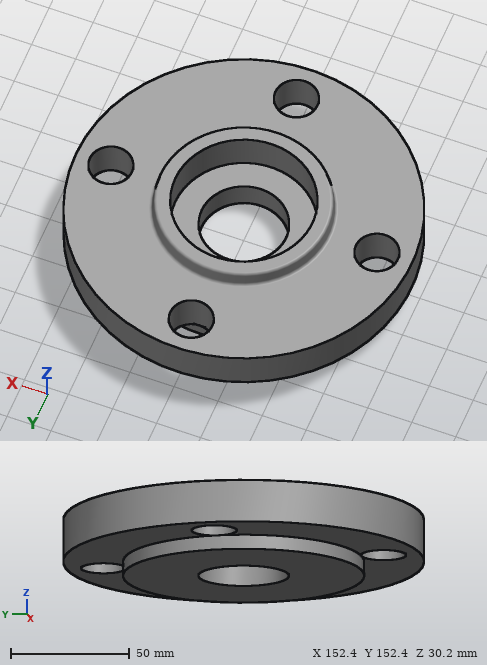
import cadquery as cq
import math

flange_diameter = 152.4
flange_thickness = 18.0
raised_face_diameter = 101.8
raised_face_height = 6.1

hub_height = 6.1
hub_top_flat_diameter = 73.1
hub_draft_degrees = 10.0
hub_fillet_radius = 1.4

bore_diameter = 38.2
socket_diameter = 62.2
socket_depth = 17.5

bolt_count = 4
bolt_hole_diameter = 19.0
bolt_circle_diameter = 120.7

flange_bottom = raised_face_height
flange_top = flange_bottom + flange_thickness
hub_top = flange_top + hub_height
socket_floor = hub_top - socket_depth


def cylinder(diameter, bottom, top):
    """Upright cylinder on the flange axis."""
    return cq.Workplane("XY").workplane(offset=bottom).circle(diameter / 2).extrude(top - bottom)


def make_hub():
    """Solid hub; its sharp-cornered cone leaves the stated flat once the top rim is rounded."""
    rounding_width = hub_fillet_radius * math.tan(math.radians((90 - hub_draft_degrees) / 2))
    cone_top_radius = hub_top_flat_diameter / 2 + rounding_width
    cone_bottom_radius = cone_top_radius + hub_height * math.tan(math.radians(hub_draft_degrees))
    profile = [
        (0, flange_top),
        (cone_bottom_radius, flange_top),
        (cone_top_radius, hub_top),
        (0, hub_top),
    ]
    return cq.Workplane("XZ").polyline(profile).close().revolve(360, (0, 0, 0), (0, 1, 0))


def make_body():
    """Raised face, flange disc and hub joined, with both hub edges rounded."""
    raised_face = cylinder(raised_face_diameter, 0, flange_bottom)
    disc = cylinder(flange_diameter, flange_bottom, flange_top)
    body = raised_face.union(disc).union(make_hub())
    body = body.faces(">Z").edges().fillet(hub_fillet_radius)
    point_on_disc_top = (bolt_circle_diameter / 2, 0, flange_top)
    disc_top = body.faces(cq.selectors.NearestToPointSelector(point_on_disc_top))
    hub_root = disc_top.edges(cq.selectors.RadiusNthSelector(0))
    return hub_root.fillet(hub_fillet_radius)


def bolt_holes():
    """Cutters for the bolt holes, evenly spaced from the X axis."""
    return (
        cq.Workplane("XY")
        .workplane(offset=flange_bottom)
        .polarArray(bolt_circle_diameter / 2, 0, 360, bolt_count)
        .circle(bolt_hole_diameter / 2)
        .extrude(flange_thickness)
    )


bore = cylinder(bore_diameter, 0, hub_top)
socket = cylinder(socket_diameter, socket_floor, hub_top)

result = make_body().cut(bore).cut(socket).cut(bolt_holes())